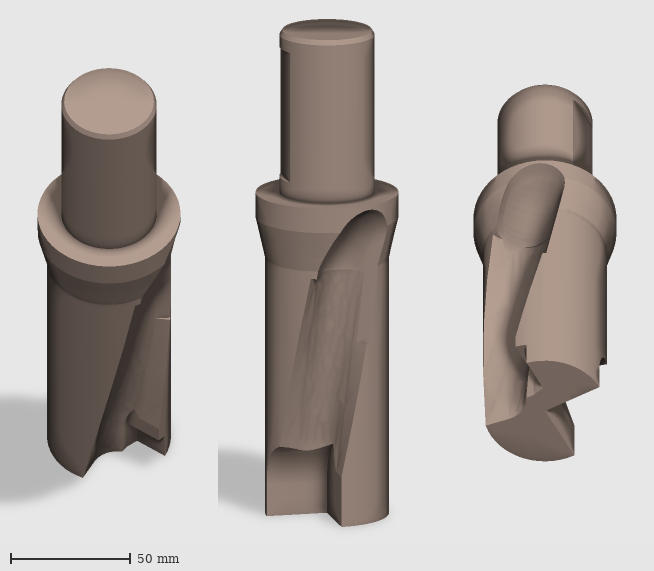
import cadquery as cq
import math

ORIGIN = (0, 0, 0)
UP = (0, 0, 1)

TOTAL_LENGTH = 208.57
SHANK_LENGTH = 70.0
COLLAR_TOP_Z = TOTAL_LENGTH - SHANK_LENGTH
COLLAR_HEIGHT = 10.6
CONE_HEIGHT = 17.6
COLLAR_BOTTOM_Z = COLLAR_TOP_Z - COLLAR_HEIGHT
CONE_BOTTOM_Z = COLLAR_BOTTOM_Z - CONE_HEIGHT

SHANK_RADIUS = 20.0
COLLAR_RADIUS = 30.0
BODY_RADIUS = 26.0
SHANK_CHAMFER_WIDTH = 1.2
SHANK_CHAMFER_HEIGHT = 2.0

FLAT_DISTANCE = 18.0
LAND_LENGTH = 7.0
FLAT_BOTTOM_Z = COLLAR_TOP_Z + LAND_LENGTH
FLAT_TOP_Z = TOTAL_LENGTH - LAND_LENGTH

FLUTE_TWIST = 0.466
RADIAL_WALL_Z = 21.5
FLUTE_TOP_Z = 107.0
FLUTE_OPENING = 68.5
FLUTE_CORNER_RADIUS = 10.8
FLUTE_CORNER_X = 16.4
FLUTE_DEPTH_X = FLUTE_CORNER_X - FLUTE_CORNER_RADIUS

RUNOUT_WIDTH = 24.4
RUNOUT_RADIUS = 28.4
RUNOUT_TILT = 9.0
RUNOUT_LEAD_IN = 30.0
RUNOUT_AXIS_X = FLUTE_DEPTH_X + RUNOUT_RADIUS

OVERCUT = 2.0

POCKET_STRAIGHT_Z = 14.4
POCKET_ARC_RADIUS = 20.0
INNER_POCKET_X = 0.0
OUTER_POCKET_X = 9.6
SEAT_DEPTH = 5.0
SEAT_RELIEF = 1.4


def turned_body():
    """Shank, collar, cone and drill body as one revolved profile."""
    profile = (
        cq.Workplane("XZ")
        .moveTo(0, 0)
        .lineTo(BODY_RADIUS, 0)
        .lineTo(BODY_RADIUS, CONE_BOTTOM_Z)
        .lineTo(COLLAR_RADIUS, COLLAR_BOTTOM_Z)
        .lineTo(COLLAR_RADIUS, COLLAR_TOP_Z)
        .lineTo(SHANK_RADIUS, COLLAR_TOP_Z)
        .lineTo(SHANK_RADIUS, TOTAL_LENGTH - SHANK_CHAMFER_HEIGHT)
        .lineTo(SHANK_RADIUS - SHANK_CHAMFER_WIDTH, TOTAL_LENGTH)
        .lineTo(0, TOTAL_LENGTH)
        .close()
    )
    return profile.revolve(360, (0, 0, 0), (0, 1, 0))


def shank_flat():
    """Block that leaves a flat on the shank between two full-round lands."""
    return (
        cq.Workplane("XY", origin=(0, SHANK_RADIUS, FLAT_BOTTOM_Z))
        .rect(2 * SHANK_RADIUS, 2 * (SHANK_RADIUS - FLAT_DISTANCE))
        .extrude(FLAT_TOP_Z - FLAT_BOTTOM_Z)
    )


def helix_section():
    """Flute cross-section at the tip on the +X, -Y side with its wall along the X axis."""
    opening = math.radians(FLUTE_OPENING)
    edge_x = BODY_RADIUS * math.cos(opening)
    edge_y = -BODY_RADIUS * math.sin(opening)
    centre_x = FLUTE_CORNER_X
    centre_y = -FLUTE_CORNER_RADIUS

    edge_distance = math.hypot(edge_x - centre_x, edge_y - centre_y)
    edge_angle = math.atan2(edge_y - centre_y, edge_x - centre_x) % math.tau
    tangent_angle = edge_angle - math.acos(FLUTE_CORNER_RADIUS / edge_distance)
    middle_angle = (math.pi / 2 + tangent_angle) / 2

    def arc_point(angle):
        x = centre_x + FLUTE_CORNER_RADIUS * math.cos(angle)
        y = centre_y + FLUTE_CORNER_RADIUS * math.sin(angle)
        return x, y

    tangent_x, tangent_y = arc_point(tangent_angle)
    reach_y = -BODY_RADIUS - OVERCUT
    floor_slope = (edge_x - tangent_x) / (edge_y - tangent_y)
    floor_end_x = edge_x + floor_slope * (reach_y - edge_y)
    return (
        cq.Workplane("XY")
        .moveTo(RUNOUT_AXIS_X, 0)
        .lineTo(FLUTE_CORNER_X, 0)
        .threePointArc(arc_point(middle_angle), (tangent_x, tangent_y))
        .lineTo(floor_end_x, reach_y)
        .lineTo(RUNOUT_AXIS_X, reach_y)
        .close()
    )


def runout_section():
    """Round-bottomed slot section of the run-out, at the top of the helix."""
    round_radius = RUNOUT_WIDTH / 2
    round_start_x = FLUTE_DEPTH_X + round_radius
    return (
        cq.Workplane("XY", origin=(0, 0, FLUTE_TOP_Z))
        .moveTo(RUNOUT_AXIS_X, 0)
        .lineTo(round_start_x, 0)
        .threePointArc((FLUTE_DEPTH_X, -round_radius), (round_start_x, -RUNOUT_WIDTH))
        .lineTo(RUNOUT_AXIS_X, -RUNOUT_WIDTH)
        .close()
    )


def flute(turn):
    """Helical channel and its curved run-out, turned about Z by the given angle."""
    bottom_angle = turn - FLUTE_TWIST * RADIAL_WALL_Z
    twist = FLUTE_TWIST * FLUTE_TOP_Z
    helix = helix_section().twistExtrude(FLUTE_TOP_Z, twist)
    quarter_turn = 90
    arc = runout_section().revolve(quarter_turn, (RUNOUT_AXIS_X, 0, 0), (RUNOUT_AXIS_X, 1, 0))
    lead_in = runout_section().extrude(-RUNOUT_LEAD_IN)
    tilt_start = (0, 0, FLUTE_TOP_Z)
    tilt_end = (1, 0, FLUTE_TOP_Z)
    cutters = [helix.rotate(ORIGIN, UP, bottom_angle)]
    for stretch in (lead_in, arc):
        tilted = stretch.rotate(tilt_start, tilt_end, -RUNOUT_TILT)
        cutters.append(tilted.rotate(ORIGIN, UP, bottom_angle + twist))
    return cutters


def insert_pocket(wall_x, turn):
    """Pocket with a wall curving outward as it rises.

    It lies on the +X, -Y side before it is turned about Z.
    """
    outer_x = wall_x + BODY_RADIUS
    top_z = POCKET_STRAIGHT_Z + POCKET_ARC_RADIUS
    arc_offset = POCKET_ARC_RADIUS * math.sqrt(0.5)
    arc_centre_x = wall_x + POCKET_ARC_RADIUS
    pocket = (
        cq.Workplane("XZ")
        .moveTo(wall_x, 0)
        .lineTo(wall_x, POCKET_STRAIGHT_Z)
        .threePointArc(
            (arc_centre_x - arc_offset, POCKET_STRAIGHT_Z + arc_offset),
            (arc_centre_x, top_z),
        )
        .lineTo(outer_x, top_z)
        .lineTo(outer_x, 0)
        .close()
        .extrude(BODY_RADIUS)
    )
    return pocket.rotate(ORIGIN, UP, turn)


def insert_seat():
    """Tapered recess in the floor of the outer pocket."""
    outer_x = BODY_RADIUS + OVERCUT
    inner_x = OUTER_POCKET_X + SEAT_RELIEF
    inner_z = POCKET_STRAIGHT_Z - SEAT_RELIEF
    return (
        cq.Workplane("XZ")
        .polyline([
            (OUTER_POCKET_X, 0),
            (outer_x, 0),
            (outer_x, POCKET_STRAIGHT_Z),
            (OUTER_POCKET_X, POCKET_STRAIGHT_Z),
        ])
        .close()
        .workplane(offset=-SEAT_DEPTH)
        .polyline([(inner_x, 0), (outer_x, 0), (outer_x, inner_z), (inner_x, inner_z)])
        .close()
        .loft(ruled=True)
    )


result = turned_body().cut(shank_flat())
for flute_turn in (0, 180):
    for cutter in flute(flute_turn):
        result = result.cut(cutter)
result = result.cut(insert_pocket(INNER_POCKET_X, 180))
result = result.cut(insert_pocket(OUTER_POCKET_X, 0))
result = result.cut(insert_seat())